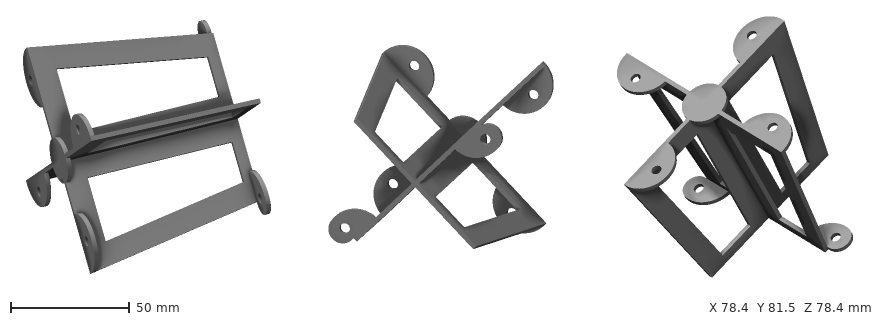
import cadquery as cq
import math

length = 81.5
arm_count = 4
arm_thickness = 2.0
front_reach = 49.95
back_reach = 37.0
half_thickness = arm_thickness / 2

hub_width = 10.0
rim_width = 10.0
front_rail = 10.0
back_rail = 5.0

plate_thickness = 2.0
disc_radius = 10.0
tab_radius = 13.12
tab_hole_diameter = 4.46
tab_hole_offset = 6.6
back_tab_corner_radius = 6.0
back_tab_arms = (1, 3)

half_chord = math.sqrt(tab_radius**2 - half_thickness**2)
tab_center = front_reach - half_chord

first_arm_angle = 45.0
arm_spacing = 360.0 / arm_count


def place(shape, index):
    """Turn a shape modelled along +X to the direction of the given arm."""
    angle = first_arm_angle + index * arm_spacing
    return shape.rotate((0, 0, 0), (0, -1, 0), angle)


def end_plane(y):
    """Sketch plane at depth y, with X to the right, Z up and extrusion towards -Y."""
    return cq.Workplane("XZ", origin=(0, y, 0))


def make_arm():
    """Tapered plate along +X with a window parallel to its edges."""
    taper = (front_reach - back_reach) / length
    rim_along_x = rim_width * math.hypot(1, taper)
    window_back = length - back_rail

    def window_reach(y):
        return front_reach - taper * y - rim_along_x

    outline = [(0, 0), (front_reach, 0), (back_reach, length), (0, length)]
    window = [
        (hub_width, front_rail),
        (window_reach(front_rail), front_rail),
        (window_reach(window_back), window_back),
        (hub_width, window_back),
    ]
    plate = cq.Workplane("XY").polyline(outline).close().extrude(half_thickness, both=True)
    opening = cq.Workplane("XY").polyline(window).close().extrude(arm_thickness, both=True)
    return plate.cut(opening)


def tab_hole(y):
    """Cutter for a tab whose back side is at depth y."""
    return (
        end_plane(y)
        .center(tab_center, tab_hole_offset)
        .circle(tab_hole_diameter / 2)
        .extrude(plate_thickness)
    )


def make_front_tab():
    """Circle segment that starts at one face of the arm, with a hole."""
    tab = (
        end_plane(plate_thickness)
        .moveTo(tab_center + half_chord, half_thickness)
        .threePointArc((tab_center, tab_radius), (tab_center - half_chord, half_thickness))
        .close()
        .extrude(plate_thickness)
    )
    return tab.cut(tab_hole(plate_thickness))


def make_back_tab():
    """Circle segment beside the arm whose outer corner is rounded to the arm face, with a hole."""
    r = back_tab_corner_radius
    corner_height = half_thickness + r
    center_distance = tab_radius - r
    corner_shift = math.sqrt(center_distance**2 - corner_height**2)
    corner_x = tab_center + corner_shift
    touch_x = tab_center + tab_radius * corner_shift / center_distance
    touch_z = tab_radius * corner_height / center_distance
    inner_x = tab_center - half_chord
    mid_rim = tab_radius * math.sqrt(0.5)
    tab = (
        end_plane(length)
        .moveTo(inner_x, half_thickness)
        .lineTo(corner_x, half_thickness)
        .threePointArc((corner_x + r, corner_height), (touch_x, touch_z))
        .threePointArc((tab_center - mid_rim, mid_rim), (inner_x, half_thickness))
        .close()
        .extrude(plate_thickness)
    )
    return tab.cut(tab_hole(length))


result = end_plane(plate_thickness).circle(disc_radius).extrude(plate_thickness)
for arm_index in range(arm_count):
    result = result.union(place(make_arm(), arm_index))
    result = result.union(place(make_front_tab(), arm_index))
for arm_index in back_tab_arms:
    result = result.union(place(make_back_tab(), arm_index))